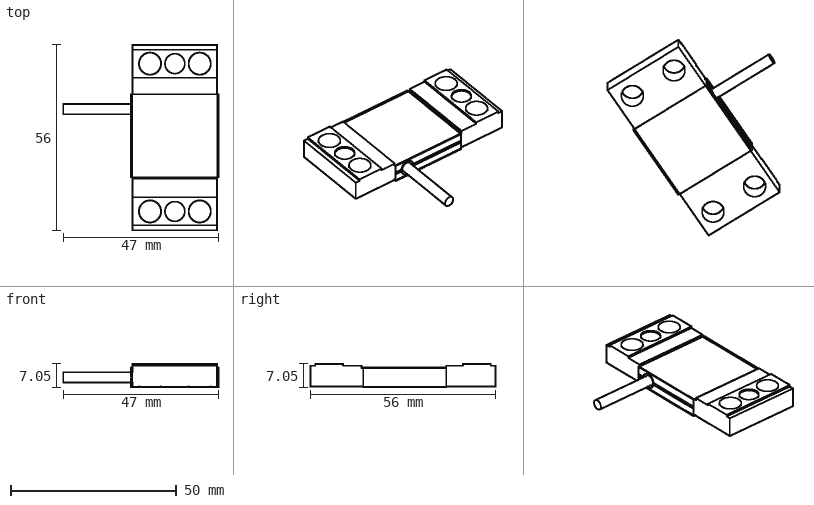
import cadquery as cq

plate_length = 56.0
plate_width = 25.6
step_height = 6.3
pad_rise = 0.55
pad_length = 8.45
pad_end_margin = 1.45

recess_floor = 5.55
recess_front = -12.5
recess_back = 13.05

bolt_hole_diameter = 6.6
bolt_hole_spacing = 15.0
spot_diameter = 6.0
spot_depth = 0.5

sheet = 0.2
bend_radius = 0.15
sleeve_side_gap = 0.3
sleeve_front = -12.0
slit_height = 0.55
cable_opening_diameter = 4.6

cable_diameter = 3.2
cable_y = 8.55
overall_width = 47.05

pad_top = step_height + pad_rise
pad_center_y = plate_length / 2 - pad_end_margin - pad_length / 2
plate_side = plate_width / 2
sleeve_inner_side = plate_side + sleeve_side_gap
sleeve_outer_side = sleeve_inner_side + sheet
sleeve_length = recess_back - sleeve_front
cable_z = recess_floor / 2
cable_end_x = sleeve_outer_side - overall_width


def block(x_min, x_max, y_min, y_max, z_min, z_max):
    """Box given by its limits along each axis."""
    return cq.Workplane("XY").box(
        x_max - x_min, y_max - y_min, z_max - z_min, centered=False
    ).translate((x_min, y_min, z_min))


def rod_along_x(diameter, x_start, x_end):
    """Cylinder on the cable axis between two X positions."""
    return (
        cq.Workplane("YZ", origin=(x_start, cable_y, cable_z))
        .circle(diameter / 2)
        .extrude(x_end - x_start)
    )


def make_plate():
    """Plate with two raised pads, a cross recess, through holes and shallow round spots."""
    half_length = plate_length / 2
    plate = block(-plate_side, plate_side, -half_length, half_length, 0, step_height)
    plate = plate.cut(
        block(-plate_side, plate_side, recess_front, recess_back, recess_floor, step_height)
    )
    for center_y in (-pad_center_y, pad_center_y):
        pad = block(
            -plate_side, plate_side,
            center_y - pad_length / 2, center_y + pad_length / 2,
            step_height, pad_top,
        )
        bolt_holes = (
            cq.Workplane("XY", origin=(0, center_y, 0))
            .pushPoints([(-bolt_hole_spacing / 2, 0), (bolt_hole_spacing / 2, 0)])
            .circle(bolt_hole_diameter / 2)
            .extrude(pad_top)
        )
        spot = (
            cq.Workplane("XY", origin=(0, center_y, pad_top - spot_depth))
            .circle(spot_diameter / 2)
            .extrude(spot_depth)
        )
        plate = plate.union(pad).cut(bolt_holes).cut(spot)
    return plate


def make_sleeve():
    """Rectangular sheet tube with rounded corners, slit along its -X wall and opened around the cable."""
    outside = block(
        -sleeve_outer_side, sleeve_outer_side, sleeve_front, recess_back, -sheet, recess_floor + sheet
    ).edges("|Y").fillet(bend_radius)
    inside = block(
        -sleeve_inner_side, sleeve_inner_side, sleeve_front, recess_back, 0, recess_floor
    )
    slit = cq.Workplane("XY").box(sheet, sleeve_length, slit_height).translate(
        (-sleeve_inner_side - sheet / 2, sleeve_front + sleeve_length / 2, cable_z)
    )
    cable_opening = rod_along_x(cable_opening_diameter, -sleeve_outer_side, -sleeve_inner_side)
    return outside.cut(inside).cut(slit).cut(cable_opening)


def make_cable():
    """Round cable that butts against the side of the plate."""
    return rod_along_x(cable_diameter, cable_end_x, -plate_side)


plate = make_plate()
sleeve = make_sleeve()
cable = make_cable()

result = cq.Compound.makeCompound([plate.val(), sleeve.val(), cable.val()])